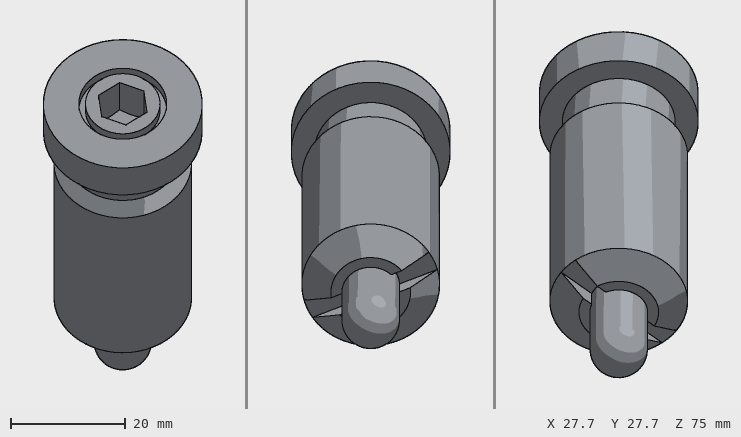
import cadquery as cq
import math

TOTAL_LENGTH = 75.0

HEAD_RADIUS = 27.7 / 2
HEAD_HEIGHT = 7.95
NECK_RADIUS = 19.65 / 2
BARREL_RADIUS = 24.0 / 2
SHOULDER_HEIGHT = BARREL_RADIUS - NECK_RADIUS
BARREL_TOP_DEPTH = 17.25
BARREL_END_DEPTH = 57.0
NOSE_HEIGHT = 2.9
NOSE_SLOPE = 30
NOSE_END_RADIUS = BARREL_RADIUS - NOSE_HEIGHT / math.tan(math.radians(NOSE_SLOPE))
SLOT_WIDTH = 3.7

PIN_RADIUS = 10.05 / 2

GROOVE_OUTER_RADIUS = 15.3 / 2
GROOVE_INNER_RADIUS = 13.0 / 2
GROOVE_DEPTH = 2.0
SOCKET_ACROSS_FLATS = 7.95
SOCKET_DEPTH = 7.95
SOCKET_FLOOR_SLOPE = 30

TOP = TOTAL_LENGTH
HEAD_BOTTOM = TOP - HEAD_HEIGHT
BARREL_TOP = TOP - BARREL_TOP_DEPTH
BARREL_END = TOP - BARREL_END_DEPTH
NOSE_END = BARREL_END - NOSE_HEIGHT


def turned(profile):
    """Revolve a closed profile of (radius, z) about the Z axis."""
    return profile.close().revolve(360, (0, 0, 0), (0, 1, 0))


def ring_groove():
    return (
        cq.Workplane("XY", origin=(0, 0, TOP - GROOVE_DEPTH))
        .circle(GROOVE_OUTER_RADIUS)
        .circle(GROOVE_INNER_RADIUS)
        .extrude(GROOVE_DEPTH)
    )


def hex_socket():
    """Hexagonal prism with corners on X, ending in a conical floor."""
    corner_radius = SOCKET_ACROSS_FLATS / math.sqrt(3)
    rim = TOP - SOCKET_DEPTH
    tip = rim - corner_radius * math.tan(math.radians(SOCKET_FLOOR_SLOPE))
    prism = cq.Workplane("XY", origin=(0, 0, tip)).polygon(6, 2 * corner_radius).extrude(TOP - tip)
    pointed_bore = turned(
        cq.Workplane("XZ")
        .moveTo(0, tip)
        .lineTo(corner_radius, rim)
        .lineTo(corner_radius, TOP)
        .lineTo(0, TOP)
    )
    return prism.intersect(pointed_bore)


def nose_slot():
    """Slot along Y across the nose, as deep as the nose is high."""
    return (
        cq.Workplane("XY", origin=(0, 0, NOSE_END))
        .rect(SLOT_WIDTH, 2 * BARREL_RADIUS)
        .extrude(NOSE_HEIGHT)
    )


def make_housing():
    body = turned(
        cq.Workplane("XZ")
        .moveTo(0, TOP)
        .lineTo(HEAD_RADIUS, TOP)
        .lineTo(HEAD_RADIUS, HEAD_BOTTOM)
        .lineTo(NECK_RADIUS, HEAD_BOTTOM)
        .lineTo(NECK_RADIUS, BARREL_TOP + SHOULDER_HEIGHT)
        .lineTo(BARREL_RADIUS, BARREL_TOP)
        .lineTo(BARREL_RADIUS, BARREL_END)
        .lineTo(NOSE_END_RADIUS, NOSE_END)
        .lineTo(0, NOSE_END)
    )
    return body.cut(nose_slot()).cut(ring_groove()).cut(hex_socket())


def make_pin():
    """Round pin with a hemispherical tip, standing on the slot ceiling."""
    shank = cq.Workplane("XY", origin=(0, 0, PIN_RADIUS)).circle(PIN_RADIUS).extrude(BARREL_END - PIN_RADIUS)
    tip = cq.Workplane("XY", origin=(0, 0, PIN_RADIUS)).sphere(PIN_RADIUS)
    return shank.union(tip)


pin = make_pin()
housing = make_housing().cut(pin)
result = cq.Compound.makeCompound([housing.val(), pin.val()])